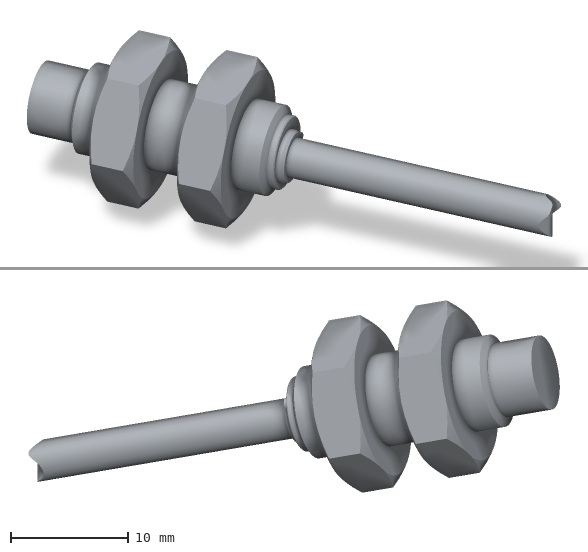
import cadquery as cq
import math

overall_length = 47.2

nose_diameter = 6.4
nose_length = 4.0
body_diameter = 8.0
body_end = 21.95
body_chamfer = 0.42
body_end_diameter = 6.5
cap_diameter = 6.5
cap_end = 22.55
cap_chamfer = 0.1

cable_offset = -0.42
cable_diameter = 3.5
collar_diameter = 4.7
collar_end = 23.25
collar_chamfer = 0.3
collar_chamfer_depth = 0.15

lamp_diameter = 1.05
lamp_offset = 2.4
lamp_end = 22.9

nut_across_flats = 13.0
nut_sides = 6
nut_width = 4.0
nut_starts = (7.0, 14.95)
nut_chamfer_angle = 30.0

break_top = 47.05
break_valley = 46.0
break_middle = 46.55
break_lobe = overall_length
break_bottom = 46.35


def rod(diameter, start, end, y=0.0):
    """Cylinder along X, centred at the given Y."""
    return cq.Workplane("YZ", origin=(start, y, 0)).circle(diameter / 2).extrude(end - start)


def make_barrel():
    body_radius = body_diameter / 2
    end_radius = body_end_diameter / 2
    body = (
        cq.Workplane("XY")
        .moveTo(nose_length, 0)
        .lineTo(nose_length, end_radius)
        .lineTo(nose_length + body_chamfer, body_radius)
        .lineTo(body_end - body_chamfer, body_radius)
        .lineTo(body_end, end_radius)
        .lineTo(body_end, 0)
        .close()
        .revolve(360, (0, 0, 0), (1, 0, 0))
    )
    nose = rod(nose_diameter, 0, nose_length)
    cap = rod(cap_diameter, body_end, cap_end).faces(">X").chamfer(cap_chamfer)
    return body.union(nose).union(cap)


def make_nut(start):
    """Hexagon nut with corners toward +Y and -Y, both faces turned down at the corners."""
    corner_diameter = nut_across_flats / math.cos(math.radians(180 / nut_sides))
    flat_radius = nut_across_flats / 2
    corner_radius = corner_diameter / 2
    chamfer = (corner_radius - flat_radius) * math.tan(math.radians(nut_chamfer_angle))
    end = start + nut_width
    hexagon = cq.Workplane("YZ", origin=(start, 0, 0)).polygon(nut_sides, corner_diameter).extrude(nut_width)
    turned_blank = (
        cq.Workplane("XY")
        .moveTo(start, 0)
        .lineTo(start, flat_radius)
        .lineTo(start + chamfer, corner_radius)
        .lineTo(end - chamfer, corner_radius)
        .lineTo(end, flat_radius)
        .lineTo(end, 0)
        .close()
        .revolve(360, (0, 0, 0), (1, 0, 0))
    )
    return hexagon.intersect(turned_blank)


def make_collar():
    collar = rod(collar_diameter, cap_end, collar_end, cable_offset)
    return collar.faces(">X").chamfer(collar_chamfer, collar_chamfer_depth)


def make_cable():
    """Cable trimmed by an S-shaped outline: a hollow on the +Y half, a lobe on the -Y half."""
    radius = cable_diameter / 2
    break_wave = [
        (break_valley, radius / 2),
        (break_middle, 0),
        (break_lobe, -radius / 2),
        (break_bottom, -radius),
    ]
    along_y = (0, -1)
    wave_tangents = [None, along_y, None, along_y, None]
    outline = (
        cq.Workplane("XY", origin=(0, cable_offset, -radius))
        .moveTo(cap_end, radius)
        .lineTo(break_top, radius)
        .spline(break_wave, tangents=wave_tangents, includeCurrent=True)
        .lineTo(cap_end, -radius)
        .close()
        .extrude(cable_diameter)
    )
    return rod(cable_diameter, cap_end, overall_length + radius, cable_offset).intersect(outline)


result = make_barrel()
for nut_start in nut_starts:
    result = result.union(make_nut(nut_start))
result = result.union(make_collar())
result = result.union(make_cable())
result = result.union(rod(lamp_diameter, cap_end, lamp_end, lamp_offset))